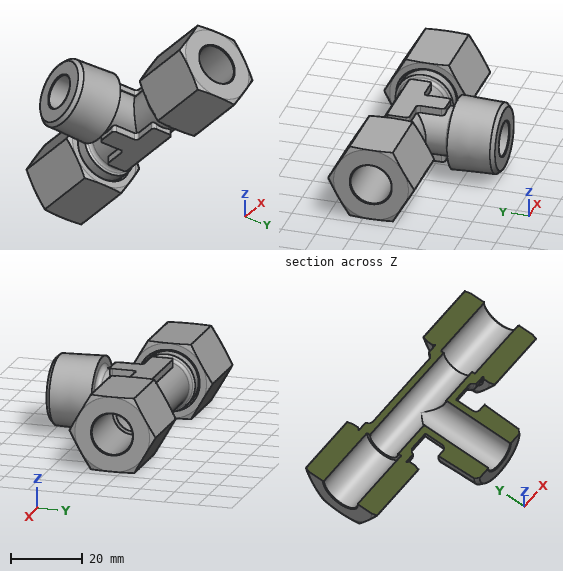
import cadquery as cq
import math

RUN_HALF_LENGTH = 37.0
BRANCH_LENGTH = 28.0

NUT_LENGTH = 20.0
NUT_ACROSS_FLATS = 22.0
NUT_CHAMFER_ANGLE = 15.0
NUT_COUNTERSINK = 0.6
NUT_INNER_X = RUN_HALF_LENGTH - NUT_LENGTH
NUT_CORNER_DIAMETER = NUT_ACROSS_FLATS / math.cos(math.radians(30))

BODY_DIAMETER = 14.17
BODY_RADIUS = BODY_DIAMETER / 2

COLLAR_DIAMETER = 17.0
COLLAR_RADIUS = COLLAR_DIAMETER / 2
COLLAR_END_X = NUT_INNER_X + NUT_COUNTERSINK
COLLAR_EDGE_X = 14.5
COLLAR_CONE_ANGLE = 60.0
COLLAR_FILLET = 1.4

BORE_DIAMETER = 10.0
TUBE_SOCKET_DIAMETER = 12.0
TUBE_SOCKET_DEPTH = 20.0
MOUTH_CHAMFER = 0.25

THREAD_SHOULDER_Y = 14.35
NECK_FILLET = 1.45
THREAD_LARGE_RADIUS = 10.65
THREAD_TAPER = 1 / 32
THREAD_CHAMFER_LENGTH = 1.15
THREAD_CHAMFER_DEPTH = 1.1

PAD_HALF_HEIGHT = 8.5
PAD_HALF_LENGTH = 11.1
PAD_HALF_WIDTH = 3.27
PAD_END_Y = 11.4
PAD_CORNER_RADIUS = 0.95


def along_x(radius, start, end):
    """Cylinder on the X axis between two X positions."""
    return cq.Workplane("YZ", origin=(start, 0, 0)).circle(radius).extrude(end - start)


def collar():
    """Collar beside one nut: fillet rising from the barrel, tangent cone, then the full diameter."""
    slope = math.radians(COLLAR_CONE_ANGLE)
    cone_radius = BODY_RADIUS + COLLAR_FILLET * (1 - math.cos(slope))
    cone_x = COLLAR_EDGE_X - (COLLAR_RADIUS - cone_radius) / math.tan(slope)
    fillet_x = cone_x - COLLAR_FILLET * math.sin(slope)
    return (
        cq.Workplane("XY")
        .moveTo(fillet_x, 0)
        .lineTo(fillet_x, BODY_RADIUS)
        .threePointArc(
            (
                fillet_x + COLLAR_FILLET * math.sin(slope / 2),
                BODY_RADIUS + COLLAR_FILLET * (1 - math.cos(slope / 2)),
            ),
            (cone_x, cone_radius),
        )
        .lineTo(COLLAR_EDGE_X, COLLAR_RADIUS)
        .lineTo(COLLAR_END_X, COLLAR_RADIUS)
        .lineTo(COLLAR_END_X, 0)
        .close()
        .revolve(360, (0, 0, 0), (1, 0, 0))
    )


def nut():
    """Hexagon nut with both ends turned to a cone that meets the flats at the end faces.

    The inner face is countersunk around the collar.
    """
    hexagon = (
        cq.Workplane("YZ", origin=(NUT_INNER_X, 0, 0))
        .polygon(6, NUT_CORNER_DIAMETER)
        .extrude(NUT_LENGTH)
    )
    face_radius = NUT_ACROSS_FLATS / 2
    corner_radius = NUT_CORNER_DIAMETER / 2
    chamfer_length = (corner_radius - face_radius) * math.tan(math.radians(NUT_CHAMFER_ANGLE))
    turned_envelope = (
        cq.Workplane("XY")
        .polyline([
            (NUT_INNER_X + NUT_COUNTERSINK, 0),
            (NUT_INNER_X + NUT_COUNTERSINK, COLLAR_RADIUS),
            (NUT_INNER_X, COLLAR_RADIUS + NUT_COUNTERSINK),
            (NUT_INNER_X, face_radius),
            (NUT_INNER_X + chamfer_length, corner_radius),
            (RUN_HALF_LENGTH - chamfer_length, corner_radius),
            (RUN_HALF_LENGTH, face_radius),
            (RUN_HALF_LENGTH, 0),
        ])
        .close()
        .revolve(360, (0, 0, 0), (1, 0, 0))
    )
    return hexagon.intersect(turned_envelope)


def branch():
    """Branch stem, neck fillet and tapered male end, revolved about Y."""
    fillet_start_y = THREAD_SHOULDER_Y - NECK_FILLET
    fillet_top = BODY_RADIUS + NECK_FILLET
    arc_offset = NECK_FILLET * math.sqrt(0.5)
    chamfer_y = BRANCH_LENGTH - THREAD_CHAMFER_LENGTH
    small_radius = THREAD_LARGE_RADIUS - THREAD_TAPER * (chamfer_y - THREAD_SHOULDER_Y)
    return (
        cq.Workplane("XY")
        .moveTo(0, 0)
        .lineTo(BODY_RADIUS, 0)
        .lineTo(BODY_RADIUS, -fillet_start_y)
        .threePointArc(
            (fillet_top - arc_offset, -fillet_start_y - arc_offset),
            (fillet_top, -THREAD_SHOULDER_Y),
        )
        .lineTo(THREAD_LARGE_RADIUS, -THREAD_SHOULDER_Y)
        .lineTo(small_radius, -chamfer_y)
        .lineTo(small_radius - THREAD_CHAMFER_DEPTH, -BRANCH_LENGTH)
        .lineTo(0, -BRANCH_LENGTH)
        .close()
        .revolve(360, (0, 0, 0), (0, 1, 0))
    )


def pads():
    """T-shaped block through the body whose top and bottom form the two raised flats."""
    return (
        cq.Workplane("XY", origin=(0, 0, -PAD_HALF_HEIGHT))
        .polyline([
            (-PAD_HALF_LENGTH, PAD_HALF_WIDTH),
            (PAD_HALF_LENGTH, PAD_HALF_WIDTH),
            (PAD_HALF_LENGTH, -PAD_HALF_WIDTH),
            (PAD_HALF_WIDTH, -PAD_HALF_WIDTH),
            (PAD_HALF_WIDTH, -PAD_END_Y),
            (-PAD_HALF_WIDTH, -PAD_END_Y),
            (-PAD_HALF_WIDTH, -PAD_HALF_WIDTH),
            (-PAD_HALF_LENGTH, -PAD_HALF_WIDTH),
        ])
        .close()
        .extrude(2 * PAD_HALF_HEIGHT)
        .edges("|Z")
        .fillet(PAD_CORNER_RADIUS)
    )


def bore_with_mouth(radius, length):
    """Bore running from the origin along X to an open end with a small chamfer."""
    return (
        cq.Workplane("XY")
        .polyline([
            (0, 0),
            (0, radius),
            (length - MOUTH_CHAMFER, radius),
            (length, radius + MOUTH_CHAMFER),
            (length, 0),
        ])
        .close()
        .revolve(360, (0, 0, 0), (1, 0, 0))
    )


def tube_socket():
    """Tube socket entering one run end through the nut."""
    depth_limit = along_x(NUT_ACROSS_FLATS / 2, RUN_HALF_LENGTH - TUBE_SOCKET_DEPTH, RUN_HALF_LENGTH)
    return bore_with_mouth(TUBE_SOCKET_DIAMETER / 2, RUN_HALF_LENGTH).intersect(depth_limit)


def branch_bore():
    """Bore from the run axis out through the branch."""
    bore = bore_with_mouth(BORE_DIAMETER / 2, BRANCH_LENGTH)
    return bore.rotate((0, 0, 0), (0, 0, 1), -90)


def mirrored_pair(half):
    """The given right-hand feature together with its mirror image across the YZ plane."""
    return half.union(half.mirror("YZ"))


barrel = along_x(BODY_RADIUS, -NUT_INNER_X, NUT_INNER_X)
run_ends = mirrored_pair(collar().union(nut()))
tee = barrel.union(run_ends).union(branch()).union(pads())

run_bore = along_x(BORE_DIAMETER / 2, -RUN_HALF_LENGTH, RUN_HALF_LENGTH)
result = tee.cut(run_bore).cut(mirrored_pair(tube_socket())).cut(branch_bore())